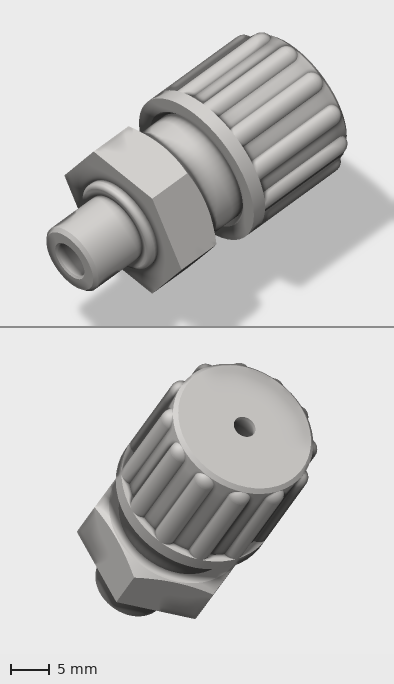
import cadquery as cq
import math

LENGTH = 40.5
FRONT_Y = -LENGTH / 2
BACK_Y = LENGTH / 2

THROUGH_RADIUS = 3.0 / 2
BORE_RADIUS = 5.0 / 2
BORE_MOUTH_RADIUS = 5.5 / 2
BORE_DEPTH = 12.15
BORE_END_ANGLE = 59
SPIGOT_RADIUS = 9.7 / 2
SPIGOT_CHAMFER = 0.5
COLLAR_RADIUS = 13.0 / 2
COLLAR_FILLET = 0.53
COLLAR_FRONT_Y = -12.15
DISH_DEPTH = 0.15
HEX_FRONT_Y = -10.8
HEX_BACK_Y = -3.65
HEX_CORNER_DIAMETER = 21.95
HEX_CHAMFER_ANGLE = 30
HEX_CHAMFER_START_RADIUS = 9.35
STEM_RADIUS = 16.0 / 2

NUT_RADIUS = 19.5 / 2
RIM_RADIUS = 21.5 / 2
RIM_WIDTH = 2.0
NUT_FRONT_Y = 2.25
NUT_CHAMFER = 0.53
NUT_MOUTH_RADIUS = 17.4 / 2
NUT_MOUTH_ANGLE = 45
NUT_END_WALL = 2.02
RIB_COUNT = 12
RIB_RADIUS = 1.5
RIB_END_GAP = 0.5

STEM_BACK_Y = BACK_Y - NUT_END_WALL


def revolve_profile(profile):
    """Turn a closed (radius, y) profile once round the Y axis."""
    return profile.close().revolve(360, (0, 0, 0), (0, 1, 0))


def cylinder(radius, start_y, end_y):
    """Cylinder on the Y axis."""
    return revolve_profile(
        cq.Workplane("XY")
        .moveTo(0, start_y)
        .lineTo(radius, start_y)
        .lineTo(radius, end_y)
        .lineTo(0, end_y)
    )


def make_hexagon():
    """Hexagon with corners on the X axis and a conical chamfer at its back."""
    prism = (
        cq.Workplane("XZ", origin=(0, HEX_FRONT_Y, 0))
        .polygon(6, HEX_CORNER_DIAMETER)
        .extrude(HEX_FRONT_Y - HEX_BACK_Y)
    )
    corner_radius = HEX_CORNER_DIAMETER / 2
    chamfer_drop = (corner_radius - HEX_CHAMFER_START_RADIUS) * math.tan(math.radians(HEX_CHAMFER_ANGLE))
    envelope = revolve_profile(
        cq.Workplane("XY")
        .moveTo(0, HEX_FRONT_Y)
        .lineTo(corner_radius, HEX_FRONT_Y)
        .lineTo(corner_radius, HEX_BACK_Y - chamfer_drop)
        .lineTo(HEX_CHAMFER_START_RADIUS, HEX_BACK_Y)
        .lineTo(0, HEX_BACK_Y)
    )
    return prism.intersect(envelope)


def make_spigot_and_collar():
    """Chamfered spigot with a round-edged collar whose face is dished."""
    fillet_center_radius = COLLAR_RADIUS - COLLAR_FILLET
    fillet_center_y = COLLAR_FRONT_Y + COLLAR_FILLET
    fillet_mid_offset = COLLAR_FILLET * math.sqrt(0.5)
    return revolve_profile(
        cq.Workplane("XY")
        .moveTo(0, FRONT_Y)
        .lineTo(SPIGOT_RADIUS - SPIGOT_CHAMFER, FRONT_Y)
        .lineTo(SPIGOT_RADIUS, FRONT_Y + SPIGOT_CHAMFER)
        .lineTo(SPIGOT_RADIUS, COLLAR_FRONT_Y + DISH_DEPTH)
        .lineTo(fillet_center_radius, COLLAR_FRONT_Y)
        .threePointArc(
            (fillet_center_radius + fillet_mid_offset, fillet_center_y - fillet_mid_offset),
            (COLLAR_RADIUS, fillet_center_y),
        )
        .lineTo(COLLAR_RADIUS, HEX_FRONT_Y)
        .lineTo(0, HEX_FRONT_Y)
    )


def make_bore():
    """Chamfered bore with a conical end, narrowing to the through hole."""
    mouth_chamfer = BORE_MOUTH_RADIUS - BORE_RADIUS
    bore_end_y = FRONT_Y + BORE_DEPTH
    cone_length = (BORE_RADIUS - THROUGH_RADIUS) / math.tan(math.radians(BORE_END_ANGLE))
    return revolve_profile(
        cq.Workplane("XY")
        .moveTo(0, FRONT_Y)
        .lineTo(BORE_MOUTH_RADIUS, FRONT_Y)
        .lineTo(BORE_RADIUS, FRONT_Y + mouth_chamfer)
        .lineTo(BORE_RADIUS, bore_end_y)
        .lineTo(THROUGH_RADIUS, bore_end_y + cone_length)
        .lineTo(THROUGH_RADIUS, STEM_BACK_Y)
        .lineTo(0, STEM_BACK_Y)
    )


def make_fitting_body():
    stem = cylinder(STEM_RADIUS, HEX_BACK_Y, STEM_BACK_Y)
    return make_spigot_and_collar().union(make_hexagon()).union(stem).cut(make_bore())


def make_rib(angle):
    """Round rib along Y with a ball end, turned about Y by an angle in degrees."""
    center_radius = RIM_RADIUS - RIB_RADIUS
    ball_y = BACK_Y - RIB_END_GAP - RIB_RADIUS
    rib = cylinder(RIB_RADIUS, NUT_FRONT_Y, ball_y).union(
        cq.Workplane("XY").sphere(RIB_RADIUS).translate((0, ball_y, 0))
    )
    return rib.translate((center_radius, 0, 0)).rotate((0, 0, 0), (0, 1, 0), angle)


def make_nut_mouth():
    """Conical lead-in that narrows from the nut's front face to the stem."""
    mouth_depth = (NUT_MOUTH_RADIUS - STEM_RADIUS) / math.tan(math.radians(NUT_MOUTH_ANGLE))
    return revolve_profile(
        cq.Workplane("XY")
        .moveTo(0, NUT_FRONT_Y)
        .lineTo(NUT_MOUTH_RADIUS, NUT_FRONT_Y)
        .lineTo(STEM_RADIUS, NUT_FRONT_Y + mouth_depth)
        .lineTo(0, NUT_FRONT_Y + mouth_depth)
    )


def make_clamping_nut():
    nut = cylinder(NUT_RADIUS, NUT_FRONT_Y, BACK_Y).faces(">Y").edges().chamfer(NUT_CHAMFER)
    nut = nut.union(cylinder(RIM_RADIUS, NUT_FRONT_Y, NUT_FRONT_Y + RIM_WIDTH))
    for index in range(RIB_COUNT):
        nut = nut.union(make_rib(index * 360 / RIB_COUNT))
    stem_seat = cylinder(STEM_RADIUS, NUT_FRONT_Y, STEM_BACK_Y)
    through_hole = cylinder(THROUGH_RADIUS, NUT_FRONT_Y, BACK_Y)
    return nut.cut(make_nut_mouth()).cut(stem_seat).cut(through_hole)


fitting_body = make_fitting_body()
clamping_nut = make_clamping_nut()
result = cq.Compound.makeCompound([fitting_body.val(), clamping_nut.val()])